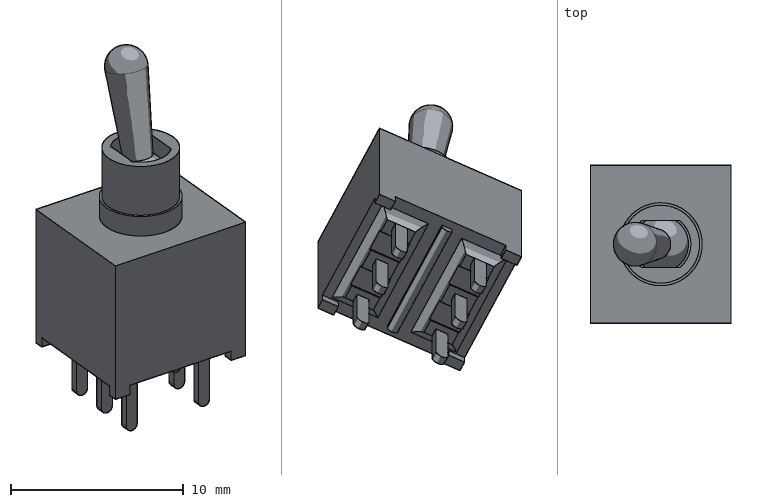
import cadquery as cq
import math

TOTAL_HEIGHT = 22.65

HOUSING_X = 8.13
HOUSING_Y = 9.15
HOUSING_BOTTOM = 3.3
HOUSING_TOP = 12.15
FOOT_X = 0.6
FOOT_Y = 1.02
FOOT_HEIGHT = 0.6
FLOOR_Z = HOUSING_BOTTOM + FOOT_HEIGHT

COLLAR_DIAMETER = 4.8
COLLAR_TOP = 13.45
BUSHING_DIAMETER = 4.5
BUSHING_TOP = 16.69
BORE_DIAMETER = 3.49
BORE_FLAT_WIDTH = 2.72

PIVOT_Z = 14.67
PIVOT_BALL_RADIUS = 1.6
TIP_BALL_RADIUS = 1.27
TIP_OFFSET_X = -1.47
SHAFT_ROOT_RADIUS = 0.8

PIN_PITCH = 2.54
PIN_ROW_SPACING = 5.07
PIN_X = 0.5
PIN_Y = 0.77
PIN_COLUMNS = (-PIN_PITCH, 0, PIN_PITCH)
PIN_ROWS = (-PIN_ROW_SPACING / 2, PIN_ROW_SPACING / 2)

MOUND_HEIGHT = 0.57
MOUND_FLARE = MOUND_HEIGHT
MOUND_ARC_SAG = 0.07
MOUND_TIP_X = 2 * PIN_PITCH + PIN_X
MOUND_TIP_Y = 1.8
GROOVE_WIDTH = 1.31
GROOVE_DEPTH = 0.11

RIB_WIDTH = 0.65
RIB_HEIGHT = 0.48
RIB_ROUND_SAG = 0.23
RIB_END_INSET = 0.45
RIB_LENGTH = HOUSING_X - 2 * RIB_END_INSET


def make_housing():
    block = cq.Workplane("XY").box(
        HOUSING_X, HOUSING_Y, HOUSING_TOP - HOUSING_BOTTOM, centered=(True, True, False)
    )
    gap_x = HOUSING_X - 2 * FOOT_X
    gap_y = HOUSING_Y - 2 * FOOT_Y
    for size_x, size_y in ((gap_x, HOUSING_Y), (HOUSING_X, gap_y)):
        gap = cq.Workplane("XY").box(size_x, size_y, FOOT_HEIGHT, centered=(True, True, False))
        block = block.cut(gap)
    return block.translate((0, 0, HOUSING_BOTTOM))


def make_neck():
    collar = cq.Workplane("XY").workplane(offset=HOUSING_TOP)
    collar = collar.circle(COLLAR_DIAMETER / 2).extrude(COLLAR_TOP - HOUSING_TOP)
    bushing = cq.Workplane("XY").workplane(offset=COLLAR_TOP)
    bushing = bushing.circle(BUSHING_DIAMETER / 2).extrude(BUSHING_TOP - COLLAR_TOP)
    bore_depth = BUSHING_TOP - PIVOT_Z
    bore = cq.Workplane("XY").circle(BORE_DIAMETER / 2).extrude(bore_depth)
    flats = cq.Workplane("XY").box(
        BORE_DIAMETER, BORE_FLAT_WIDTH, bore_depth, centered=(True, True, False)
    )
    bore = bore.intersect(flats).translate((0, 0, PIVOT_Z))
    return collar.union(bushing).cut(bore)


def make_lever():
    tip_rise = TOTAL_HEIGHT - TIP_BALL_RADIUS - PIVOT_Z
    shaft_length = math.hypot(TIP_OFFSET_X, tip_rise)
    tilt = math.degrees(math.atan2(TIP_OFFSET_X, tip_rise))
    shaft = (
        cq.Workplane("XZ")
        .lineTo(SHAFT_ROOT_RADIUS, 0)
        .lineTo(TIP_BALL_RADIUS, shaft_length)
        .radiusArc((0, shaft_length + TIP_BALL_RADIUS), -TIP_BALL_RADIUS)
        .close()
        .revolve(360, (0, 0), (0, 1))
        .rotate((0, 0, 0), (0, 1, 0), tilt)
    )
    pivot_ball = cq.Workplane("XY").sphere(PIVOT_BALL_RADIUS)
    pivot_slab = cq.Workplane("XY").box(2 * PIVOT_BALL_RADIUS, BORE_FLAT_WIDTH, 2 * PIVOT_BALL_RADIUS)
    lever = shaft.union(pivot_ball.intersect(pivot_slab))
    return lever.translate((0, 0, PIVOT_Z))


def make_pin(x, y):
    """Flat pin from the housing floor down to a half-round tip."""
    tip_radius = PIN_Y / 2
    return (
        cq.Workplane("YZ")
        .moveTo(-tip_radius, FLOOR_Z)
        .lineTo(-tip_radius, tip_radius)
        .threePointArc((0, 0), (tip_radius, tip_radius))
        .lineTo(tip_radius, FLOOR_Z)
        .close()
        .extrude(PIN_X / 2, both=True)
        .translate((x, y, 0))
    )


def make_flared_bar(plane, tip_width, length):
    """Bar hanging below z = 0 whose concave sides widen towards its root."""
    tip = tip_width / 2
    root = tip + MOUND_FLARE
    sag_step = MOUND_ARC_SAG * math.sqrt(0.5)
    sag_x = tip + MOUND_FLARE / 2 - sag_step
    sag_z = sag_step - MOUND_HEIGHT / 2
    return (
        cq.Workplane(plane)
        .moveTo(-root, 0)
        .threePointArc((-sag_x, sag_z), (-tip, -MOUND_HEIGHT))
        .lineTo(tip, -MOUND_HEIGHT)
        .threePointArc((sag_x, sag_z), (root, 0))
        .close()
        .extrude(length / 2, both=True)
    )


def make_mound(y):
    """Seal along one pin row, with shallow grooves between the pins."""
    along = make_flared_bar("XZ", MOUND_TIP_X, HOUSING_Y)
    across = make_flared_bar("YZ", MOUND_TIP_Y, HOUSING_X)
    mound = along.intersect(across)
    for groove_x in (-PIN_PITCH / 2, PIN_PITCH / 2):
        groove = cq.Workplane("XY").box(GROOVE_WIDTH, HOUSING_Y, 2 * GROOVE_DEPTH)
        mound = mound.cut(groove.translate((groove_x, 0, -MOUND_HEIGHT)))
    return mound.translate((0, y, FLOOR_Z))


def make_rib():
    side = RIB_WIDTH / 2
    return (
        cq.Workplane("YZ")
        .moveTo(-side, 0)
        .lineTo(-side, RIB_ROUND_SAG - RIB_HEIGHT)
        .threePointArc((0, -RIB_HEIGHT), (side, RIB_ROUND_SAG - RIB_HEIGHT))
        .lineTo(side, 0)
        .close()
        .extrude(RIB_LENGTH / 2, both=True)
        .translate((0, 0, FLOOR_Z))
    )


result = make_housing().union(make_neck()).union(make_lever()).union(make_rib())
for row_y in PIN_ROWS:
    result = result.union(make_mound(row_y))
    for column_x in PIN_COLUMNS:
        result = result.union(make_pin(column_x, row_y))